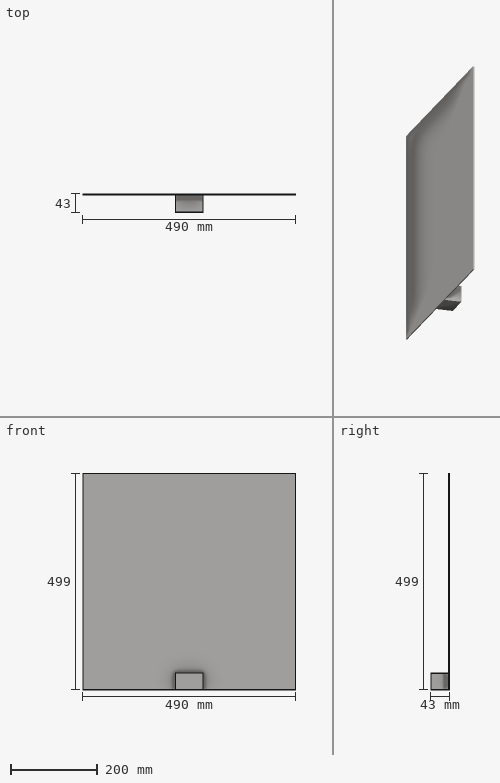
import cadquery as cq

panel_width = 490.0
panel_height = 499.0
panel_thickness = 3.0

block_width = 64.0
block_height = 39.0
overall_depth = 43.0
block_depth = overall_depth - panel_thickness


def make_panel():
    """Thin plate standing on Z = 0, with its front face on Y = 0."""
    return cq.Workplane("XY").box(
        panel_width, panel_thickness, panel_height, centered=(True, False, False)
    )


def make_block():
    """Plain block centred across the panel, with its back face on Y = 0."""
    block = cq.Workplane("XY").box(
        block_width, block_depth, block_height, centered=(True, False, False)
    )
    return block.translate((0, -block_depth, 0))


panel = make_panel()
block = make_block()

result = cq.Compound.makeCompound([panel.val(), block.val()])